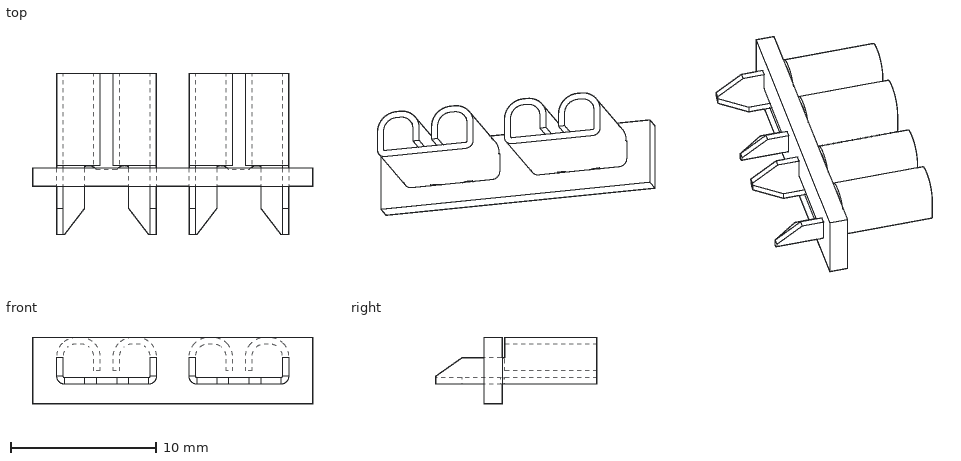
import cadquery as cq
import math

PLATE_WIDTH = 19.3
PLATE_HEIGHT = 4.57
PLATE_THICKNESS = 1.27

CONTACT_PITCH = 9.1
CONTACT_WIDTH = 6.87
SHEET = 0.45
BEND_INNER_RADIUS = 0.1
BEND_OUTER_RADIUS = BEND_INNER_RADIUS + SHEET
FLOOR_BOTTOM = -0.93
WALL_TOP = 0.89
FRONT_LENGTH = 3.32
BACK_LENGTH = 7.78
HALF_WIDTH = CONTACT_WIDTH / 2
FLOOR_TOP = FLOOR_BOTTOM + SHEET
BEND_TOP = FLOOR_BOTTOM + BEND_OUTER_RADIUS
FLAT_FLOOR_HALF = HALF_WIDTH - BEND_OUTER_RADIUS

TAPER_START = 1.5
PRONG_WIDTH = 1.93
PRONG_EDGE = HALF_WIDTH - PRONG_WIDTH

CURL_GAP = 0.15
CURL_START = PLATE_THICKNESS + CURL_GAP
CURL_LENGTH = BACK_LENGTH - CURL_START
CURL_WIDTH = 3.0
CURL_RADIUS = 1.35
CURL_LIP = 0.93
CURL_TOP = PLATE_HEIGHT / 2
CURL_AXIS = CURL_TOP - CURL_RADIUS

RELIEF_RADIUS = 0.65
RELIEF_OFFSET = 0.27
RELIEF_END_ANGLE = math.radians(54)
RELIEF_CENTRE_X = PRONG_EDGE - RELIEF_OFFSET
RELIEF_CENTRE_Y = CURL_START - RELIEF_RADIUS


def extrude_along_y(outline, start, length):
    """Extrude a wire drawn on XZ by cq.Workplane("XZ") towards +Y, from y = start."""
    return outline.extrude(-length).translate((0, start, 0))


def channel(start, length):
    """Channel with a flat floor, rounded bottom corners and upright side walls."""
    height = WALL_TOP - FLOOR_BOTTOM
    outer = extrude_along_y(
        cq.Workplane("XZ").center(0, FLOOR_BOTTOM + height / 2).rect(CONTACT_WIDTH, height), start, length
    ).edges("|Y and <Z").fillet(BEND_OUTER_RADIUS)
    inner_height = WALL_TOP - FLOOR_TOP
    inner = extrude_along_y(
        cq.Workplane("XZ").center(0, FLOOR_TOP + inner_height / 2)
        .rect(CONTACT_WIDTH - 2 * SHEET, inner_height), start, length
    ).edges("|Y and <Z").fillet(BEND_INNER_RADIUS)
    return outer.cut(inner)


def left_curl():
    """Sheet hook that rises from the left wall, arches over and ends in a straight lip."""
    outer_left = -HALF_WIDTH
    outer_right = outer_left + CURL_WIDTH
    arc_left = outer_left + CURL_RADIUS
    arc_right = outer_right - CURL_RADIUS
    inner_left = outer_left + SHEET
    inner_right = outer_right - SHEET
    inner_radius = CURL_RADIUS - SHEET
    lip_end = CURL_AXIS - CURL_LIP
    outline = (
        cq.Workplane("XZ")
        .moveTo(outer_left, WALL_TOP)
        .lineTo(outer_left, CURL_AXIS)
        .radiusArc((arc_left, CURL_TOP), CURL_RADIUS)
        .lineTo(arc_right, CURL_TOP)
        .radiusArc((outer_right, CURL_AXIS), CURL_RADIUS)
        .lineTo(outer_right, lip_end)
        .lineTo(inner_right, lip_end)
        .lineTo(inner_right, CURL_AXIS)
        .radiusArc((arc_right, CURL_TOP - SHEET), -inner_radius)
        .lineTo(arc_left, CURL_TOP - SHEET)
        .radiusArc((inner_left, CURL_AXIS), -inner_radius)
        .lineTo(inner_left, WALL_TOP)
        .close()
    )
    return extrude_along_y(outline, CURL_START, CURL_LENGTH)


def floor_gap():
    """Cutter for the floor between the prongs, with tapered sides and rounded back corners."""
    relief_side_y = RELIEF_CENTRE_Y + math.sqrt(RELIEF_RADIUS**2 - RELIEF_OFFSET**2)
    tongue_half = RELIEF_CENTRE_X - RELIEF_RADIUS * math.sin(RELIEF_END_ANGLE)
    tongue_front = RELIEF_CENTRE_Y + RELIEF_RADIUS * math.cos(RELIEF_END_ANGLE)
    return (
        cq.Workplane("XY", origin=(0, 0, FLOOR_BOTTOM))
        .moveTo(-FLAT_FLOOR_HALF, -FRONT_LENGTH)
        .lineTo(-PRONG_EDGE, -TAPER_START)
        .lineTo(-PRONG_EDGE, relief_side_y)
        .threePointArc((-RELIEF_CENTRE_X, CURL_START), (-tongue_half, tongue_front))
        .lineTo(tongue_half, tongue_front)
        .threePointArc((RELIEF_CENTRE_X, CURL_START), (PRONG_EDGE, relief_side_y))
        .lineTo(PRONG_EDGE, -TAPER_START)
        .lineTo(FLAT_FLOOR_HALF, -FRONT_LENGTH)
        .close()
        .extrude(SHEET)
    )


def wall_taper():
    """Cutter that slopes both side walls down to the bends at the prong tips."""
    return (
        cq.Workplane("YZ")
        .moveTo(-TAPER_START, WALL_TOP)
        .lineTo(-FRONT_LENGTH, WALL_TOP)
        .lineTo(-FRONT_LENGTH, BEND_TOP)
        .close()
        .extrude(HALF_WIDTH, both=True)
    )


def make_contact(x):
    body = channel(-FRONT_LENGTH, FRONT_LENGTH + BACK_LENGTH)
    body = body.cut(floor_gap()).cut(wall_taper())
    curl = left_curl()
    body = body.union(curl).union(curl.mirror("YZ"))
    return body.translate((x, 0, 0))


def make_plate(slot_positions):
    """Rectangular plate with a channel-shaped through slot for each contact."""
    plate = extrude_along_y(cq.Workplane("XZ").rect(PLATE_WIDTH, PLATE_HEIGHT), 0, PLATE_THICKNESS)
    for x in slot_positions:
        plate = plate.cut(channel(0, PLATE_THICKNESS).translate((x, 0, 0)))
    return plate


contact_positions = [-CONTACT_PITCH / 2, CONTACT_PITCH / 2]
plate = make_plate(contact_positions)
contacts = [make_contact(x) for x in contact_positions]

result = cq.Compound.makeCompound([plate.solids().val(), *[contact.solids().val() for contact in contacts]])